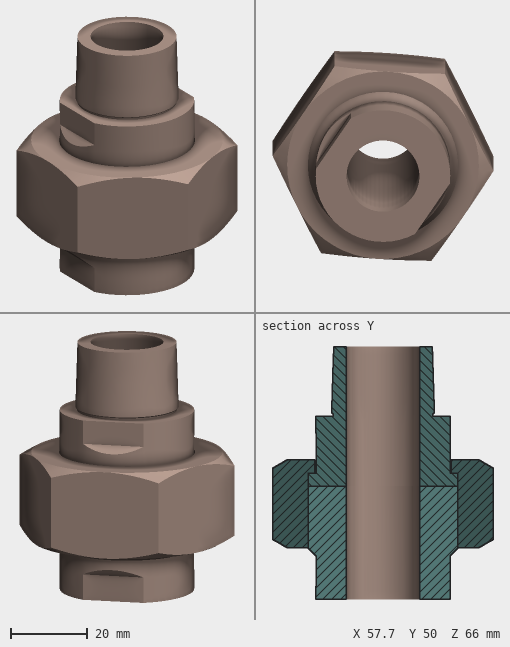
import cadquery as cq
import math

total_height = 66.0
bore_radius = 9.5

nut_across_flats = 50.0
nut_bottom = 13.45
nut_top = 36.55
nut_chamfer_angle = 30.0
nut_lip_thickness = 3.55
nut_lip_clearance = 0.2

collar_radius = 17.55
flat_distance = 15.6
lower_flat_height = 6.8
upper_flat_height = 6.2
lower_collar_top = 11.4
upper_collar_top = 47.9

flange_thickness = 3.3

spigot_top_radius = 12.95
spigot_taper = 1 / 16
spigot_bottom = 48.8
neck_radius = 13.1
neck_chamfer = 0.3

joint_radius = collar_radius + nut_bottom - lower_collar_top
flange_top = nut_top - nut_lip_thickness
joint_plane = flange_top - flange_thickness
spigot_bottom_radius = spigot_top_radius + (total_height - spigot_bottom) * spigot_taper / 2


def revolve_profile(points):
    """Revolve a closed (radius, z) outline about the Z axis."""
    return cq.Workplane("XZ").polyline(points).close().revolve(360, (0, 0, 0), (0, 1, 0))


def flat_cutter(end_z, flat_height, inward):
    """Pair of wrench-flat cutters running inward from a collar end to a 45-degree run-out."""
    flat_end = end_z + inward * flat_height
    flat_depth = collar_radius - flat_distance
    cutters = cq.Workplane("YZ")
    for side in (-1, 1):
        outline = [
            (side * flat_distance, end_z),
            (side * flat_distance, flat_end),
            (side * collar_radius, flat_end + inward * flat_depth),
            (side * collar_radius, end_z),
        ]
        cutters = cutters.polyline(outline).close()
    return cutters.extrude(collar_radius, both=True)


def make_lower_body():
    """Lower collar with a cone and the cylinder that fills the nut."""
    body = revolve_profile([
        (bore_radius, 0),
        (collar_radius, 0),
        (collar_radius, lower_collar_top),
        (joint_radius, nut_bottom),
        (joint_radius, joint_plane),
        (bore_radius, joint_plane),
    ])
    return body.cut(flat_cutter(0, lower_flat_height, 1))


def make_upper_body():
    """Flange held under the nut lip, upper collar and tapered spigot."""
    body = revolve_profile([
        (bore_radius, joint_plane),
        (joint_radius, joint_plane),
        (joint_radius, flange_top),
        (collar_radius, flange_top),
        (collar_radius, upper_collar_top),
        (neck_radius, upper_collar_top),
        (neck_radius, spigot_bottom - neck_chamfer),
        (spigot_bottom_radius, spigot_bottom),
        (spigot_top_radius, total_height),
        (bore_radius, total_height),
    ])
    return body.cut(flat_cutter(upper_collar_top, upper_flat_height, -1))


def make_nut():
    """Hexagonal nut with conical corner chamfers and a retaining lip at the top."""
    flat_radius = nut_across_flats / 2
    corner_radius = flat_radius / math.cos(math.radians(30))
    chamfer_drop = (corner_radius - flat_radius) * math.tan(math.radians(nut_chamfer_angle))
    lip_radius = collar_radius + nut_lip_clearance

    hexagon = (
        cq.Workplane("XY")
        .workplane(offset=nut_bottom)
        .polygon(6, 2 * corner_radius)
        .extrude(nut_top - nut_bottom)
    )
    chamfered_ring = revolve_profile([
        (joint_radius, nut_bottom),
        (flat_radius, nut_bottom),
        (corner_radius, nut_bottom + chamfer_drop),
        (corner_radius, nut_top - chamfer_drop),
        (flat_radius, nut_top),
        (lip_radius, nut_top),
        (lip_radius, flange_top),
        (joint_radius, flange_top),
    ])
    return hexagon.intersect(chamfered_ring)


lower_body = make_lower_body()
upper_body = make_upper_body()
nut = make_nut()

bodies = [lower_body, upper_body, nut]
result = cq.Compound.makeCompound([body.solids().val() for body in bodies])